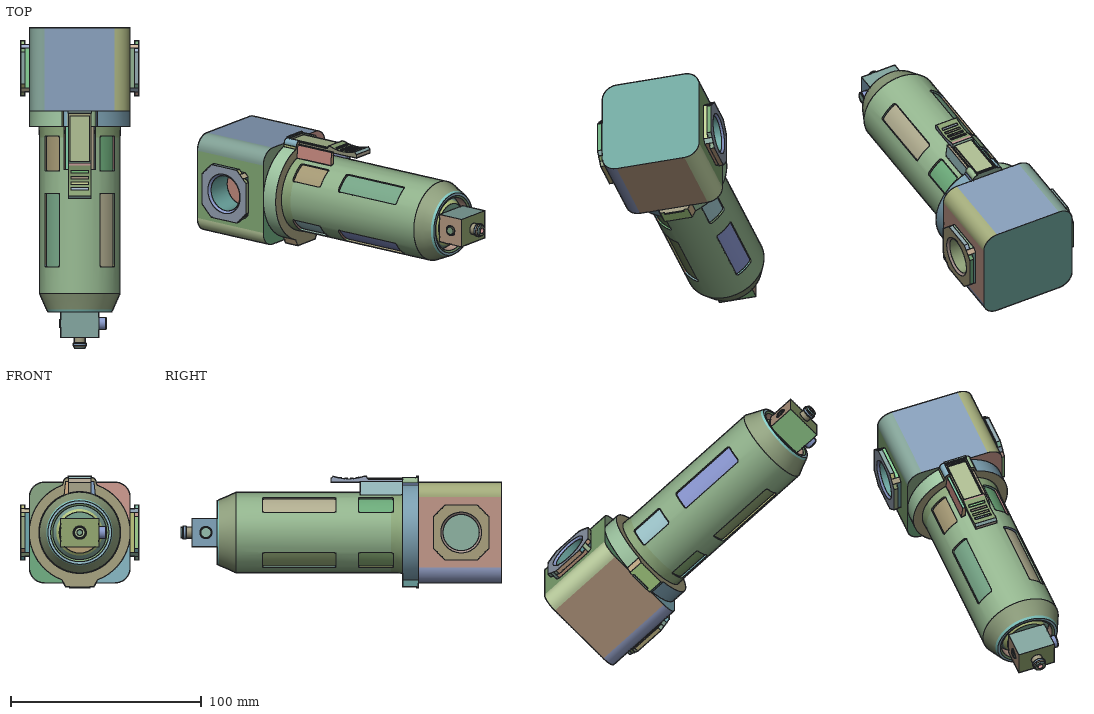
import cadquery as cq
import math


BODY_WIDTH = 53.0
BODY_DEPTH = 43.8
BODY_CORNER_RADIUS = 8.0
OVERALL_WIDTH = 62.2
PORT_DEPTH = 21.3
PORT_FLANGE_SIZE = 29.0
PORT_FLANGE_CORNER = 6.1
PORT_FLANGE_THICKNESS = 2.3
PORT_NECK_SIZE = 25.0
PORT_NECK_CORNER = 2.0
PORT_BORE_DIAMETER = 19.0
PORT_MOUTH_DIAMETER = 21.4
PORT_BORE_DEPTH = 15.0

COLLAR_END = 52.0
COLLAR_DIAMETER = 53.0
TOP_TAB_ROOT_HALF_WIDTH = 9.2
TOP_TAB_HALF_WIDTH = 8.6
TOP_TAB_ROOT_HEIGHT = 24.9
TOP_TAB_FLARE_TOP = 26.0
TOP_TAB_HEIGHT = 28.9
TOP_TAB_CORNER_RADIUS = 2.4
BOTTOM_TAB_ROOT_HALF_WIDTH = 9.6
BOTTOM_TAB_HALF_WIDTH = 7.5
BOTTOM_TAB_HEIGHT = 28.5
BOTTOM_TAB_ROOT_HEIGHT = 24.3
LIP_LENGTH = 0.9
TOP_LIP_HEIGHT = 29.6
TOP_LIP_HALF_WIDTH = 6.1
BOTTOM_LIP_HEIGHT = 29.14
BOTTOM_LIP_HALF_WIDTH = 5.3

LEVER_START = 45.2
LEVER_END = 89.7
LEVER_HALF_WIDTH = 5.95
LEVER_BOTTOM = 26.35
LEVER_RAIL_TOP = 27.9
LEVER_PEAK = 29.55
LEVER_TIP_LOWER_EDGE = 28.3
LEVER_VALLEY = 28.2
LEVER_BUMP_START = 70.0
LEVER_BUMP_EDGE = 71.1
LEVER_BUMP_PEAK = 72.4
LEVER_VALLEY_MIDDLE = 80.0
LEVER_TIP_RISE = 85.6
LEVER_TIP_RISE_HEIGHT = 28.75
LEVER_TIP_PEAK = 88.5
PANEL_START = 46.4
PANEL_END = 70.5
PANEL_HALF_WIDTH = 5.1
PANEL_TOP = 28.5
GRIP_RIB_COUNT = 4
GRIP_RIB_FIRST = 75.7
GRIP_RIB_PITCH = 3.0
GRIP_RIB_THICKNESS = 1.3
GRIP_RIB_LENGTH = 9.0
GRIP_RIB_HEIGHT = 0.3
WALL_TOP_OUTER = 7.4
WALL_FOOT_OUTER = 8.2
WALL_TOP = 26.9
WALL_BOTTOM = 19.8
WALL_END = 74.4

BOWL_RADIUS = 21.2
BOWL_STRAIGHT_END = 139.6
BOWL_END = 149.4
BOWL_END_RADIUS = 16.7
BOWL_SHOULDER_RADIUS = 17.4
BOWL_SHOULDER_DEPTH = 148.2
BOWL_ROOT_RADIUS = 21.5
BOWL_ROOT_END = 57.9
WINDOW_SPANS = ((56.9, 75.3), (87.0, 125.6))
WINDOW_EDGE_ANGLE = 15.0
WINDOW_RECESS = 1.1
WINDOW_CORNER_RADIUS = 1.0

RECESS_MOUTH_RADIUS = 15.3
RECESS_RADIUS = 14.2
RECESS_CHAMFER = 0.6
RECESS_DEPTH = 6.0
KNOB_SHOULDER_RADIUS = 12.2
KNOB_SHOULDER_DEPTH = 146.4
KNOB_FACE_RADIUS = 10.8
KNOB_FACE_DEPTH = 148.0
BLOCK_WIDTH = 20.0
BLOCK_HEIGHT = 15.0
BLOCK_END = 162.7
PIN_DEPTH = 155.3
PIN_DIAMETER = 6.4
PIN_LENGTH = 4.1
PIN_CHAMFER = 0.5
BUTTON_HOLE_DIAMETER = 5.5
BUTTON_DIAMETER = 4.2
BUTTON_HOLE_DEPTH = 1.0
BUTTON_PROTRUSION = 0.5
STEM_RADIUS = 3.0
STEM_RING_RADIUS = 3.5
STEM_TIP_RADIUS = 2.75
STEM_RING_START = 165.4
STEM_RING_CREST_START = 165.8
STEM_RING_CREST_END = 167.0
STEM_RING_END = 167.6
STEM_END = 168.5
STEM_HOLE_DIAMETER = 3.0
STEM_HOLE_DEPTH = 4.0


def section(depth):
    """Cross-section plane at a depth; extruding goes toward the stem end."""
    return cq.Workplane("XZ", origin=(0, -depth, 0))


def turned(radius_depth_points):
    """Solid of revolution about the long axis from (radius, depth) points."""
    points = [(radius, -depth) for radius, depth in radius_depth_points]
    return cq.Workplane("XY").polyline(points).close().revolve(360, (0, 0), (0, 1))


def block(x_range, depth_range, z_range):
    """Box given by its limits in X, depth and Z."""
    width = x_range[1] - x_range[0]
    length = depth_range[1] - depth_range[0]
    height = z_range[1] - z_range[0]
    corner = (x_range[0], -depth_range[1], z_range[0])
    return cq.Workplane("XY").box(width, length, height, centered=False).translate(corner)


def make_body():
    outline = section(0).rect(BODY_WIDTH, BODY_WIDTH).extrude(BODY_DEPTH)
    return outline.edges("|Y").fillet(BODY_CORNER_RADIUS)


def port_plane(x):
    """Plane across a port on the +X side, facing outward."""
    return cq.Workplane("YZ", origin=(x, -PORT_DEPTH, 0))


def make_port_fitting():
    """Octagonal flange on a narrower neck, on the +X side."""
    neck_start = BODY_WIDTH / 2
    outer_face = OVERALL_WIDTH / 2
    neck = port_plane(neck_start).rect(PORT_NECK_SIZE, PORT_NECK_SIZE).extrude(outer_face - neck_start)
    neck = neck.edges("|X").chamfer(PORT_NECK_CORNER)
    flange_start = outer_face - PORT_FLANGE_THICKNESS
    flange = port_plane(flange_start).rect(PORT_FLANGE_SIZE, PORT_FLANGE_SIZE)
    flange = flange.extrude(PORT_FLANGE_THICKNESS).edges("|X").chamfer(PORT_FLANGE_CORNER)
    return neck.union(flange)


def make_port_bore():
    """Blind bore with a chamfered mouth, on the +X side."""
    outer_face = OVERALL_WIDTH / 2
    bore = port_plane(outer_face - PORT_BORE_DEPTH).circle(PORT_BORE_DIAMETER / 2).extrude(PORT_BORE_DEPTH)
    mouth_depth = (PORT_MOUTH_DIAMETER - PORT_BORE_DIAMETER) / 2
    mouth = port_plane(outer_face - mouth_depth).circle(PORT_BORE_DIAMETER / 2)
    mouth = mouth.workplane(offset=mouth_depth).circle(PORT_MOUTH_DIAMETER / 2).loft()
    return bore.union(mouth)


def mirrored_outline(depth, half_points):
    """Closed outline symmetric about X = 0, given from its low end to its high end."""
    left_half = [(-x, z) for x, z in reversed(half_points)]
    return section(depth).polyline(half_points + left_half).close()


def make_collar():
    length = COLLAR_END - BODY_DEPTH
    collar = section(BODY_DEPTH).circle(COLLAR_DIAMETER / 2).extrude(length)
    top_tab = mirrored_outline(BODY_DEPTH, [
        (TOP_TAB_ROOT_HALF_WIDTH, 0),
        (TOP_TAB_ROOT_HALF_WIDTH, TOP_TAB_ROOT_HEIGHT),
        (TOP_TAB_HALF_WIDTH, TOP_TAB_FLARE_TOP),
        (TOP_TAB_HALF_WIDTH, TOP_TAB_HEIGHT),
    ]).extrude(length)
    top_tab = top_tab.faces(">Z").edges("|Y").fillet(TOP_TAB_CORNER_RADIUS)
    bottom_tab = mirrored_outline(BODY_DEPTH, [
        (BOTTOM_TAB_HALF_WIDTH, -BOTTOM_TAB_HEIGHT),
        (BOTTOM_TAB_ROOT_HALF_WIDTH, -BOTTOM_TAB_ROOT_HEIGHT),
        (BOTTOM_TAB_ROOT_HALF_WIDTH, 0),
    ]).extrude(length)
    collar = collar.union(top_tab).union(bottom_tab)
    lip_span = (BODY_DEPTH, BODY_DEPTH + LIP_LENGTH)
    top_lip = block((-TOP_LIP_HALF_WIDTH, TOP_LIP_HALF_WIDTH), lip_span, (0, TOP_LIP_HEIGHT))
    bottom_lip = block((-BOTTOM_LIP_HALF_WIDTH, BOTTOM_LIP_HALF_WIDTH), lip_span, (-BOTTOM_LIP_HEIGHT, 0))
    channel = block(
        (-LEVER_HALF_WIDTH, LEVER_HALF_WIDTH), (LEVER_START, COLLAR_END), (LEVER_BOTTOM, TOP_LIP_HEIGHT)
    )
    return collar.union(top_lip).union(bottom_lip).cut(channel)


def make_lever_strip(half_width):
    """Side profile of the lever: flat rails, a bump, a hollow finger grip and a raised tip."""
    profile = (
        cq.Workplane("YZ", origin=(-half_width, 0, 0))
        .moveTo(-LEVER_START, LEVER_BOTTOM)
        .lineTo(-LEVER_START, LEVER_RAIL_TOP)
        .lineTo(-LEVER_BUMP_START, LEVER_RAIL_TOP)
        .lineTo(-LEVER_BUMP_EDGE, LEVER_PEAK)
        .lineTo(-LEVER_BUMP_PEAK, LEVER_PEAK)
        .spline(
            [
                (-LEVER_VALLEY_MIDDLE, LEVER_VALLEY),
                (-LEVER_TIP_RISE, LEVER_TIP_RISE_HEIGHT),
                (-LEVER_TIP_PEAK, LEVER_PEAK),
            ],
            includeCurrent=True,
        )
        .lineTo(-LEVER_END, LEVER_TIP_LOWER_EDGE)
        .lineTo(-LEVER_END, LEVER_BOTTOM)
        .close()
    )
    return profile.extrude(2 * half_width)


def make_lever():
    """Latch lever with a raised panel and grip ribs that follow the finger hollow."""
    lever = make_lever_strip(LEVER_HALF_WIDTH)
    panel = block((-PANEL_HALF_WIDTH, PANEL_HALF_WIDTH), (PANEL_START, PANEL_END), (LEVER_BOTTOM, PANEL_TOP))
    lever = lever.union(panel)
    raised_strip = make_lever_strip(GRIP_RIB_LENGTH / 2).translate((0, 0, GRIP_RIB_HEIGHT))
    for index in range(GRIP_RIB_COUNT):
        center = GRIP_RIB_FIRST + index * GRIP_RIB_PITCH
        span = (center - GRIP_RIB_THICKNESS / 2, center + GRIP_RIB_THICKNESS / 2)
        slice_limits = block((-LEVER_HALF_WIDTH, LEVER_HALF_WIDTH), span, (0, TOP_LIP_HEIGHT))
        lever = lever.union(raised_strip.intersect(slice_limits))
    return lever


def make_latch_walls():
    """Two upright walls that flank the lever and stand on the bowl."""
    wall = section(BODY_DEPTH).polyline([
        (LEVER_HALF_WIDTH, WALL_BOTTOM),
        (WALL_FOOT_OUTER, WALL_BOTTOM),
        (WALL_TOP_OUTER, WALL_TOP),
        (LEVER_HALF_WIDTH, WALL_TOP),
    ])
    wall = wall.close().extrude(WALL_END - BODY_DEPTH)
    return wall.union(wall.mirror("YZ"))


def make_bowl():
    """Turned bowl with a conical end, an end recess and the drain knob inside it."""
    return turned([
        (0, BODY_DEPTH),
        (BOWL_ROOT_RADIUS, BODY_DEPTH),
        (BOWL_ROOT_RADIUS, COLLAR_END),
        (BOWL_RADIUS, BOWL_ROOT_END),
        (BOWL_RADIUS, BOWL_STRAIGHT_END),
        (BOWL_SHOULDER_RADIUS, BOWL_SHOULDER_DEPTH),
        (BOWL_END_RADIUS, BOWL_END),
        (RECESS_MOUTH_RADIUS, BOWL_END),
        (RECESS_RADIUS, BOWL_END - RECESS_CHAMFER),
        (RECESS_RADIUS, BOWL_END - RECESS_DEPTH),
        (KNOB_SHOULDER_RADIUS, KNOB_SHOULDER_DEPTH),
        (KNOB_FACE_RADIUS, KNOB_FACE_DEPTH),
        (0, KNOB_FACE_DEPTH),
    ])


def make_window(span, angle):
    """Shallow window recess: a straight-sided cutter with a floor concentric to the bowl."""
    half_width = BOWL_RADIUS * math.sin(math.radians(WINDOW_EDGE_ANGLE))
    floor_radius = BOWL_RADIUS - WINDOW_RECESS
    cutter = block((0, BOWL_RADIUS + WINDOW_RECESS), span, (-half_width, half_width))
    cutter = cutter.edges("|X").fillet(WINDOW_CORNER_RADIUS)
    core = section(span[0]).circle(floor_radius).extrude(span[1] - span[0])
    return cutter.cut(core).rotate((0, 0, 0), (0, 1, 0), angle)


def make_drain():
    """Drain block with a side pin, a button and an end stem."""
    half_width = BLOCK_WIDTH / 2
    half_height = BLOCK_HEIGHT / 2
    drain = block((-half_width, half_width), (KNOB_FACE_DEPTH, BLOCK_END), (-half_height, half_height))
    side = cq.Workplane("YZ", origin=(half_width, -PIN_DEPTH, 0))
    pin = side.circle(PIN_DIAMETER / 2).extrude(PIN_LENGTH).faces(">X").chamfer(PIN_CHAMFER)
    other_side = cq.Workplane("YZ", origin=(BUTTON_HOLE_DEPTH - half_width, -PIN_DEPTH, 0))
    button_hole = other_side.circle(BUTTON_HOLE_DIAMETER / 2).extrude(-BUTTON_HOLE_DEPTH)
    button = other_side.circle(BUTTON_DIAMETER / 2).extrude(-BUTTON_HOLE_DEPTH - BUTTON_PROTRUSION)
    stem = turned([
        (0, BLOCK_END),
        (STEM_RADIUS, BLOCK_END),
        (STEM_RADIUS, STEM_RING_START),
        (STEM_RING_RADIUS, STEM_RING_CREST_START),
        (STEM_RING_RADIUS, STEM_RING_CREST_END),
        (STEM_RADIUS, STEM_RING_END),
        (STEM_TIP_RADIUS, STEM_END),
        (0, STEM_END),
    ])
    stem_hole = section(STEM_END - STEM_HOLE_DEPTH).circle(STEM_HOLE_DIAMETER / 2).extrude(STEM_HOLE_DEPTH)
    return drain.union(pin).cut(button_hole).union(button).union(stem).cut(stem_hole)


fitting = make_port_fitting()
port_bore = make_port_bore()

result = make_body()
result = result.union(fitting).union(fitting.mirror("YZ"))
result = result.cut(port_bore).cut(port_bore.mirror("YZ"))

bowl = make_bowl()
for window_span in WINDOW_SPANS:
    for quadrant in range(4):
        bowl = bowl.cut(make_window(window_span, 45 + 90 * quadrant))

result = result.union(bowl).union(make_collar())
result = result.union(make_latch_walls()).union(make_lever()).union(make_drain())